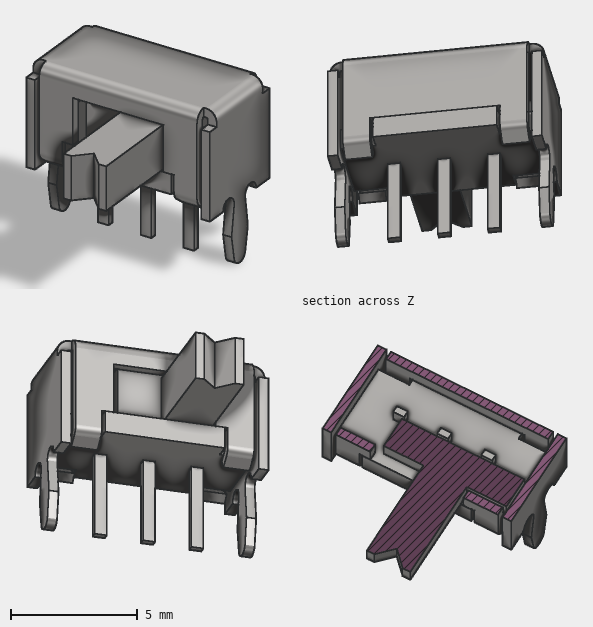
import cadquery as cq
import math


frame_length = 8.6
frame_depth = 4.4
sheet = 0.4
bend_outer_radius = 0.5
bend_inner_radius = bend_outer_radius - sheet
front_wall_length = 7.4
corner_relief_drop = 0.7
side_wall_drop = 4.7
side_bend_depth = frame_depth - 2 * bend_outer_radius
wall_inner_y = frame_depth / 2 - sheet
side_inner_x = frame_length / 2 - sheet

leg_drop = 7.5
leg_neck_half = 0.4
leg_belly_half = 0.6
leg_belly_drop = 6.11
leg_tip_arc_drop = 7.215
leg_relief_radius = 0.4

tab_bend_drop = 3.85
tab_bend_angle = math.radians(52)
tab_tip_drop = 4.56

base_top_drop = 3.1
base_bottom_drop = 4.0
base_core_depth = 3.1
base_tongue_length = 4.97
base_notch_length = 5.23

window_length = 4.23
window_top_drop = 1.0
slider_center_x = 1.0
slider_length = 5.6
slider_top_drop = 0.88
slider_front_y = -side_bend_depth / 2
slider_back_y = -0.25
lever_size = 1.995
lever_reach = 4.0
lever_tip_y = -frame_depth / 2 - lever_reach
lever_notch_width = 1.28
lever_notch_depth = 0.66

terminal_pitch = 2.0
terminal_width = 0.5
terminal_thickness = 0.3
terminal_top_drop = 2.5
terminal_places = [-terminal_pitch, 0, terminal_pitch]


def block(x_range, y_range, drop_range):
    """Box between two X values, two Y values and two drops below the top."""
    size_x = x_range[1] - x_range[0]
    size_y = y_range[1] - y_range[0]
    size_z = drop_range[1] - drop_range[0]
    corner = (x_range[0], y_range[0], -drop_range[1])
    return cq.Workplane("XY").box(size_x, size_y, size_z, centered=False).translate(corner)


def centered_block(size_x, size_y, drop_range):
    """Box centred on the Z axis between two drops below the top."""
    return block((-size_x / 2, size_x / 2), (-size_y / 2, size_y / 2), drop_range)


def channel_profile(width, drop, top_drop, corner_radius):
    """Profile in the XZ plane with its two upper corners rounded."""
    half = width / 2
    return (
        cq.Workplane("XZ")
        .moveTo(-half, -drop)
        .lineTo(-half, -top_drop - corner_radius)
        .radiusArc((-half + corner_radius, -top_drop), corner_radius)
        .lineTo(half - corner_radius, -top_drop)
        .radiusArc((half, -top_drop - corner_radius), corner_radius)
        .lineTo(half, -drop)
        .close()
    )


def bent_channel(width, drop, length):
    """Sheet bent down along its two long edges, the edges running along Y."""
    outer = channel_profile(width, drop, 0, bend_outer_radius)
    inner = channel_profile(width - 2 * sheet, drop, sheet, bend_inner_radius)
    solid = outer.extrude(length / 2, both=True)
    return solid.cut(inner.extrude(length / 2, both=True))


def side_wall():
    """Side wall with its locking leg, one sheet thick on the +X side of the YZ plane."""
    relief_outer = leg_neck_half + 2 * leg_relief_radius
    relief_center = leg_neck_half + leg_relief_radius
    relief_top = leg_relief_radius - side_wall_drop
    half = frame_depth / 2
    return (
        cq.Workplane("YZ")
        .moveTo(-half, -corner_relief_drop)
        .lineTo(-half, -side_wall_drop)
        .lineTo(-relief_outer, -side_wall_drop)
        .threePointArc((-relief_center, relief_top), (-leg_neck_half, -side_wall_drop))
        .lineTo(-leg_belly_half, -leg_belly_drop)
        .lineTo(-leg_neck_half, -leg_tip_arc_drop)
        .threePointArc((0, -leg_drop), (leg_neck_half, -leg_tip_arc_drop))
        .lineTo(leg_belly_half, -leg_belly_drop)
        .lineTo(leg_neck_half, -side_wall_drop)
        .threePointArc((relief_center, relief_top), (relief_outer, -side_wall_drop))
        .lineTo(half, -side_wall_drop)
        .lineTo(half, -corner_relief_drop)
        .close()
        .extrude(sheet)
    )


def bent_tab_strip():
    """Lower edge of the front wall, bent inward and ending in a sloping flat."""
    center_y = -frame_depth / 2 + bend_outer_radius
    arc_drop = bend_outer_radius * math.sin(tab_bend_angle)
    flat_length = (tab_tip_drop - tab_bend_drop - arc_drop) / math.cos(tab_bend_angle)

    def bend_point(radius, angle, run=0):
        """Point at an angle round the bend, moved on by a run along the tangent."""
        y = center_y - radius * math.cos(angle) + run * math.sin(angle)
        z = -tab_bend_drop - radius * math.sin(angle) - run * math.cos(angle)
        return y, z

    outer = bend_outer_radius
    inner = bend_inner_radius
    return (
        cq.Workplane("YZ")
        .moveTo(*bend_point(outer, 0))
        .threePointArc(bend_point(outer, tab_bend_angle / 2), bend_point(outer, tab_bend_angle))
        .lineTo(*bend_point(outer, tab_bend_angle, flat_length))
        .lineTo(*bend_point(inner, tab_bend_angle, flat_length))
        .lineTo(*bend_point(inner, tab_bend_angle))
        .threePointArc(bend_point(inner, tab_bend_angle / 2), bend_point(inner, 0))
        .close()
        .extrude(front_wall_length / 2, both=True)
    )


def make_frame():
    """Frame bent from one sheet: top, two long walls, two side walls with legs."""
    side_bends = bent_channel(frame_length, corner_relief_drop, side_bend_depth)
    long_walls = bent_channel(frame_depth, tab_bend_drop, front_wall_length)
    long_walls = long_walls.rotate((0, 0, 0), (0, 0, 1), 90)
    frame = side_bends.union(long_walls)
    for x in (-frame_length / 2, side_inner_x):
        frame = frame.union(side_wall().translate((x, 0, 0)))
    tab_strip = bent_tab_strip()
    frame = frame.union(tab_strip).union(tab_strip.mirror("XZ"))

    notch = centered_block(base_notch_length, frame_depth, (base_top_drop, tab_tip_drop))
    frame = frame.cut(notch)

    window = block(
        (-window_length / 2, window_length / 2),
        (-frame_depth / 2, -wall_inner_y),
        (window_top_drop, base_top_drop),
    )
    return frame.cut(window)


def make_base():
    """Base bar with a tongue through each long wall and slots for the terminals."""
    drops = (base_top_drop, base_bottom_drop)
    base = centered_block(2 * side_inner_x, base_core_depth, drops)
    base = base.union(centered_block(base_tongue_length, frame_depth, drops))
    for x in terminal_places:
        slot = centered_block(terminal_width, terminal_thickness, drops)
        base = base.cut(slot.translate((x, 0, 0)))
    return base


def make_slider():
    """Flat carriage behind the window with a square lever, notched at its tip."""
    carriage = block(
        (slider_center_x - slider_length / 2, slider_center_x + slider_length / 2),
        (slider_front_y, slider_back_y),
        (slider_top_drop, base_top_drop),
    )
    lever = block(
        (slider_center_x - lever_size / 2, slider_center_x + lever_size / 2),
        (lever_tip_y, slider_front_y),
        (base_top_drop - lever_size, base_top_drop),
    )
    notch = (
        cq.Workplane("XY", origin=(slider_center_x, lever_tip_y, -base_top_drop))
        .moveTo(-lever_notch_width / 2, 0)
        .lineTo(0, lever_notch_depth)
        .lineTo(lever_notch_width / 2, 0)
        .close()
        .extrude(lever_size)
    )
    return carriage.union(lever).cut(notch)


def make_terminal(x):
    """Straight blade through the base, ending level with the locking legs."""
    blade = centered_block(terminal_width, terminal_thickness, (terminal_top_drop, leg_drop))
    return blade.translate((x, 0, 0))


frame = make_frame()
base = make_base()
slider = make_slider()
terminals = [make_terminal(x) for x in terminal_places]

result = cq.Compound.makeCompound([
    frame.val(),
    base.val(),
    slider.val(),
    *[terminal.val() for terminal in terminals],
])